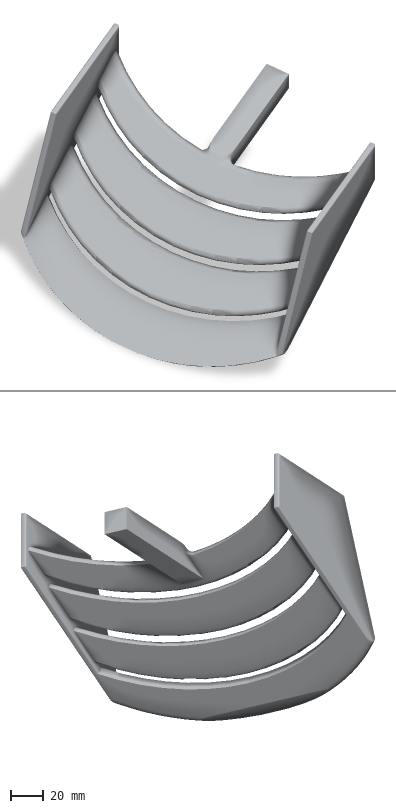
import cadquery as cq
import math


OVERALL_WIDTH = 188.0
SLOPE_ANGLE = 25.0
SLOPE_SIN = math.sin(math.radians(SLOPE_ANGLE))
SLOPE_COS = math.cos(math.radians(SLOPE_ANGLE))
SLOPE_TAN = math.tan(math.radians(SLOPE_ANGLE))
OVERALL_HEIGHT = 99.95
BASE_Z = 0.12
BIG = 400.0

PLATE_THICKNESS = 4.0
PLATE_OUTER_X = OVERALL_WIDTH / 2
PLATE_INNER_X = PLATE_OUTER_X - PLATE_THICKNESS
PLATE_TOP_Z = BASE_Z + OVERALL_HEIGHT
PLATE_BACK_Y = 150.5
PLATE_FRONT_TOP_Y = 71.2
PLATE_LEAN = 0.4526
PLATE_EDGE_RADIUS = 1.0

BLADE_THICKNESS = 6.0
BLADE_WIDTH = 32.0
BLADE_ARC_RADIUS = 135.0
LIP_NOSE_RADIUS = 5.98
SLAT_GAP = 3.0
SLAT_FRONT_ARC_RADIUS = BLADE_ARC_RADIUS - SLAT_GAP
SLAT_PITCH = BLADE_WIDTH + SLAT_GAP
SLAT_STEP = 4.0
SLAT_WIDTHS = [BLADE_WIDTH, BLADE_WIDTH, 26.5]
SLAT_FRONT_RADIUS = 2.99
SLAT_BACK_RADIUS = 4.0
BLADE_END_X = PLATE_INNER_X + PLATE_EDGE_RADIUS

HANDLE_WIDTH = 16.0
HANDLE_HEIGHT = 15.0
HANDLE_TOP_Z = 67.5
HANDLE_BOTTOM_Z = HANDLE_TOP_Z - HANDLE_HEIGHT
HANDLE_BACK_Y = 191.31
HANDLE_FRONT_Y = 98.8
HANDLE_SIDE_X = -HANDLE_WIDTH / 2
HANDLE_EDGE_RADIUS = SLAT_BACK_RADIUS
HANDLE_CORNER_RADIUS = 4.0
REAR_SLAT = len(SLAT_WIDTHS)
REAR_SLAT_TOP = REAR_SLAT * SLAT_STEP
REAR_SLAT_BACK = REAR_SLAT * SLAT_PITCH + SLAT_WIDTHS[-1]


def slope_plane(height):
    """Plane parallel to the slope; its local X is X and its local Y runs up the slope."""
    origin = (0, -height * SLOPE_SIN, height * SLOPE_COS)
    return cq.Plane(origin=origin, xDir=(1, 0, 0), normal=(0, -SLOPE_SIN, SLOPE_COS))


def slope_point(x, along, height):
    return slope_plane(height).toWorldCoords((x, along)).toTuple()


def nearest(point):
    return cq.selectors.NearestToPointSelector(point)


def arc_rise(x, radius):
    """Distance up the slope of a curved edge at x, measured from its middle."""
    return radius - math.sqrt(radius**2 - x**2)


def curved_strip(front, width, bottom, top, end_x, front_radius):
    """Half strip on the slope from the middle plane to -end_x, between two arcs."""
    back = front + width
    return (
        cq.Workplane(slope_plane(bottom))
        .moveTo(0, front)
        .threePointArc(
            (-end_x / 2, front + arc_rise(end_x / 2, front_radius)),
            (-end_x, front + arc_rise(end_x, front_radius)),
        )
        .lineTo(-end_x, back + arc_rise(end_x, BLADE_ARC_RADIUS))
        .threePointArc((-end_x / 2, back + arc_rise(end_x / 2, BLADE_ARC_RADIUS)), (0, back))
        .close()
        .extrude(top - bottom)
    )


def curved_edge(middle, height, radius):
    """Selector of the curved edge that starts at this place on the middle plane."""
    x = -PLATE_INNER_X / 2
    return nearest(slope_point(x, middle + arc_rise(x, radius), height))


def nosed_strip(width, top, end_x):
    """Strip behind the lip's front arc, with its lower front edge rounded."""
    strip = curved_strip(0, width, -BLADE_THICKNESS, top, end_x, BLADE_ARC_RADIUS)
    lower_front = curved_edge(0, -BLADE_THICKNESS, BLADE_ARC_RADIUS)
    return strip.edges(lower_front).fillet(LIP_NOSE_RADIUS)


def lip():
    return nosed_strip(BLADE_WIDTH, 0, BLADE_END_X)


def slat(number):
    """Slat with a full round front and a rounded upper back edge."""
    width = SLAT_WIDTHS[number - 1]
    front = number * SLAT_PITCH
    top = number * SLAT_STEP
    bottom = top - BLADE_THICKNESS
    strip = curved_strip(front, width, bottom, top, BLADE_END_X, SLAT_FRONT_ARC_RADIUS)
    for height in (top, bottom):
        strip = strip.edges(curved_edge(front, height, SLAT_FRONT_ARC_RADIUS)).fillet(SLAT_FRONT_RADIUS)
    return strip.edges(curved_edge(front + width, top, BLADE_ARC_RADIUS)).fillet(SLAT_BACK_RADIUS)


def side_plate():
    """Plate whose front end follows the lip's nose and whose bottom is flush under the lip."""
    drop = BLADE_THICKNESS / SLOPE_COS
    front_at_z0 = PLATE_FRONT_TOP_Y - PLATE_LEAN * PLATE_TOP_Z
    foot_y = (front_at_z0 - PLATE_LEAN * drop) / (1 - PLATE_LEAN * SLOPE_TAN)
    plate = (
        cq.Workplane("YZ", origin=(-PLATE_OUTER_X, 0, 0))
        .moveTo(foot_y, foot_y * SLOPE_TAN - drop)
        .lineTo(PLATE_FRONT_TOP_Y, PLATE_TOP_Z)
        .lineTo(PLATE_BACK_Y, PLATE_TOP_Z)
        .lineTo(PLATE_BACK_Y, PLATE_BACK_Y * SLOPE_TAN - drop)
        .close()
        .extrude(PLATE_THICKNESS)
        .intersect(nosed_strip(BIG, BIG, PLATE_OUTER_X))
    )
    return plate.faces("<X or >X").edges().fillet(PLATE_EDGE_RADIUS)


def half_handle():
    """Half bar whose front end is cut to the top of the rear slat."""
    bar = cq.Workplane("XY").box(
        HANDLE_WIDTH / 2, HANDLE_BACK_Y - HANDLE_FRONT_Y, HANDLE_HEIGHT, centered=False
    )
    bar = bar.translate((HANDLE_SIDE_X, HANDLE_FRONT_Y, HANDLE_BOTTOM_Z))
    below_slope = (
        cq.Workplane(slope_plane(REAR_SLAT_TOP)).rect(HANDLE_WIDTH, 2 * BIG).extrude(-BIG)
    )
    bar = bar.intersect(below_slope)

    break_y = (HANDLE_TOP_Z - REAR_SLAT_TOP / SLOPE_COS) / SLOPE_TAN
    break_edge = nearest((HANDLE_SIDE_X / 2, break_y, HANDLE_TOP_Z))
    bar = bar.edges(break_edge).fillet(HANDLE_EDGE_RADIUS)

    side_edge = nearest(slope_point(HANDLE_SIDE_X, 0, REAR_SLAT_TOP))
    return bar.intersect(below_slope.edges(side_edge).fillet(HANDLE_EDGE_RADIUS))


def rear_slat_with_handle():
    joined = slat(REAR_SLAT).union(half_handle())
    corner_along = REAR_SLAT_BACK + arc_rise(HANDLE_SIDE_X, BLADE_ARC_RADIUS)
    corner_height = REAR_SLAT_TOP - (SLAT_BACK_RADIUS + BLADE_THICKNESS) / 2
    corner = nearest(slope_point(HANDLE_SIDE_X, corner_along, corner_height))
    return joined.edges(corner).fillet(HANDLE_CORNER_RADIUS)


def left_half():
    half = side_plate().union(lip())
    for number in range(1, REAR_SLAT):
        half = half.union(slat(number))
    half = half.union(rear_slat_with_handle())
    above_base = cq.Workplane("XY", origin=(0, 0, BASE_Z)).rect(2 * BIG, 2 * BIG).extrude(BIG)
    return half.intersect(above_base)


left_body = left_half()
right_body = left_body.mirror("YZ")

result = cq.Compound.makeCompound([left_body.val(), right_body.val()])